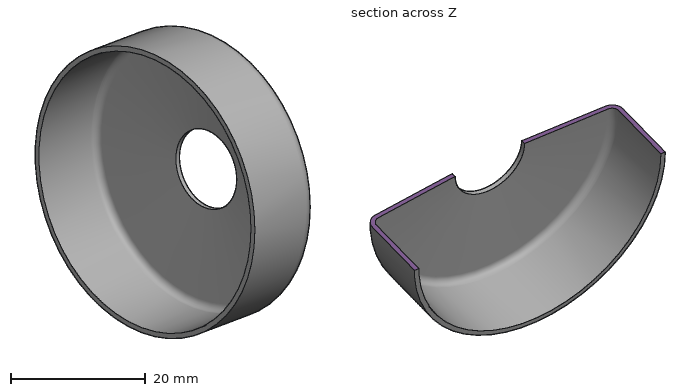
import cadquery as cq
import math

outer_radius = 22.5
total_height = 14.0
wall = 0.8
corner_radius = 2.0
hole_radius = 6.2
cone_angle = math.radians(3.5)

corner_x = outer_radius - corner_radius
cone_rise = (corner_x + corner_radius * math.sin(cone_angle) - hole_radius) * math.tan(cone_angle)
corner_y = total_height - cone_rise - corner_radius * math.cos(cone_angle)


def corner_point(radius, angle):
    """Point on a corner arc, with the angle measured from the radial direction."""
    return (corner_x + radius * math.cos(angle), corner_y + radius * math.sin(angle))


end_angle = math.pi / 2 - cone_angle
middle_angle = end_angle / 2
inner_corner_radius = corner_radius - wall
inner_hole_edge_y = total_height - wall / math.cos(cone_angle)

result = (
    cq.Workplane("XY")
    .moveTo(outer_radius - wall, 0)
    .lineTo(outer_radius, 0)
    .lineTo(outer_radius, corner_y)
    .threePointArc(corner_point(corner_radius, middle_angle), corner_point(corner_radius, end_angle))
    .lineTo(hole_radius, total_height)
    .lineTo(hole_radius, inner_hole_edge_y)
    .lineTo(*corner_point(inner_corner_radius, end_angle))
    .threePointArc(
        corner_point(inner_corner_radius, middle_angle),
        corner_point(inner_corner_radius, 0),
    )
    .close()
    .revolve(360, (0, 0, 0), (0, 1, 0))
)